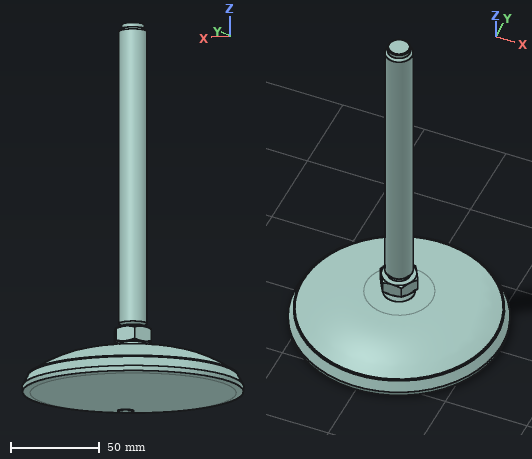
import cadquery as cq
import math

total_height = 211.69

base_diameter = 125.0
lower_edge_diameter = 124.4
lower_edge_height = 0.5
underside_flat_diameter = 116.0
widest_height = 3.3
lip_bottom_height = 9.1
lip_top_height = 9.8
lip_diameter = 118.7
dome_diameter = 117.1
dome_flat_diameter = 40.0
base_height = 23.0

mark_diameter = 9.0
mark_depth = 0.4
mark_circle_radius = 53.0
mark_angle = -60.0

ball_diameter = 20.0
ball_seat_diameter = 18.32
neck_diameter = 14.7

hex_across_flats = 20.0
hex_bottom_height = 28.0
hex_top_height = 36.4
hex_chamfer_angle = 30.0

stud_diameter = 16.0
relief_diameter = 13.0
stud_end_chamfer = (stud_diameter - relief_diameter) / 2
stud_bottom_height = 39.5
pilot_length = 2.9
pilot_chamfer = 0.5
stud_top_height = total_height - mark_depth


def tangent_arc_radius(run, drop):
    """Radius of an arc that leaves a flat face tangentially and falls by drop over run."""
    return (run ** 2 + drop ** 2) / (2 * drop)


def make_base():
    """Revolve the rim, its lip and the dome; both rounded faces meet their flats tangentially."""
    underside_radius = underside_flat_diameter / 2
    lower_edge_radius = lower_edge_diameter / 2
    lip_radius = lip_diameter / 2
    dome_radius = dome_diameter / 2
    flat_radius = dome_flat_diameter / 2
    underside_arc = tangent_arc_radius(lower_edge_radius - underside_radius, lower_edge_height)
    dome_arc = tangent_arc_radius(dome_radius - flat_radius, base_height - lip_top_height)
    profile = (
        cq.Workplane("XZ")
        .lineTo(underside_radius, 0)
        .radiusArc((lower_edge_radius, lower_edge_height), -underside_arc)
        .lineTo(base_diameter / 2, widest_height)
        .lineTo(lip_radius, lip_bottom_height)
        .lineTo(lip_radius, lip_top_height)
        .lineTo(dome_radius, lip_top_height)
        .radiusArc((flat_radius, base_height), -dome_arc)
        .lineTo(0, base_height)
        .close()
    )
    return profile.revolve(360, (0, 0), (0, 1))


def make_mark():
    """Shallow disc standing out of the underside near the rim."""
    angle = math.radians(mark_angle)
    x = mark_circle_radius * math.cos(angle)
    y = mark_circle_radius * math.sin(angle)
    return cq.Workplane("XY").center(x, y).circle(mark_diameter / 2).extrude(-mark_depth)


def make_stud():
    """Revolve the ball, the neck, the relief below the thread, the stud and its end pilot."""
    stud_radius = stud_diameter / 2
    relief_radius = relief_diameter / 2
    neck_radius = neck_diameter / 2
    ball_radius = ball_diameter / 2
    seat_radius = ball_seat_diameter / 2
    ball_center_height = base_height - math.sqrt(ball_radius ** 2 - seat_radius ** 2)
    neck_bottom_height = ball_center_height + math.sqrt(ball_radius ** 2 - neck_radius ** 2)
    hex_middle = (hex_bottom_height + hex_top_height) / 2
    pilot_bottom = stud_top_height - pilot_length
    profile = (
        cq.Workplane("XZ")
        .moveTo(0, base_height)
        .lineTo(seat_radius, base_height)
        .radiusArc((neck_radius, neck_bottom_height), -ball_radius)
        .lineTo(neck_radius, hex_middle)
        .lineTo(relief_radius, hex_middle)
        .lineTo(relief_radius, stud_bottom_height - stud_end_chamfer)
        .lineTo(stud_radius, stud_bottom_height)
        .lineTo(stud_radius, pilot_bottom - stud_end_chamfer)
        .lineTo(relief_radius, pilot_bottom)
        .lineTo(relief_radius, stud_top_height - pilot_chamfer)
        .lineTo(relief_radius - pilot_chamfer, stud_top_height)
        .lineTo(0, stud_top_height)
        .close()
    )
    return profile.revolve(360, (0, 0), (0, 1))


def make_hexagon():
    """Hexagon with corners on the X axis, its corners turned off at both ends."""
    corner_radius = hex_across_flats / math.sqrt(3)
    flat_radius = hex_across_flats / 2
    chamfer_height = (corner_radius - flat_radius) * math.tan(math.radians(hex_chamfer_angle))
    prism = (
        cq.Workplane("XY")
        .workplane(offset=hex_bottom_height)
        .polygon(6, 2 * corner_radius)
        .extrude(hex_top_height - hex_bottom_height)
    )
    turned_blank = (
        cq.Workplane("XZ")
        .moveTo(0, hex_bottom_height)
        .lineTo(flat_radius, hex_bottom_height)
        .lineTo(corner_radius, hex_bottom_height + chamfer_height)
        .lineTo(corner_radius, hex_top_height - chamfer_height)
        .lineTo(flat_radius, hex_top_height)
        .lineTo(0, hex_top_height)
        .close()
        .revolve(360, (0, 0), (0, 1))
    )
    return prism.intersect(turned_blank)


result = make_base().union(make_mark()).union(make_stud()).union(make_hexagon())